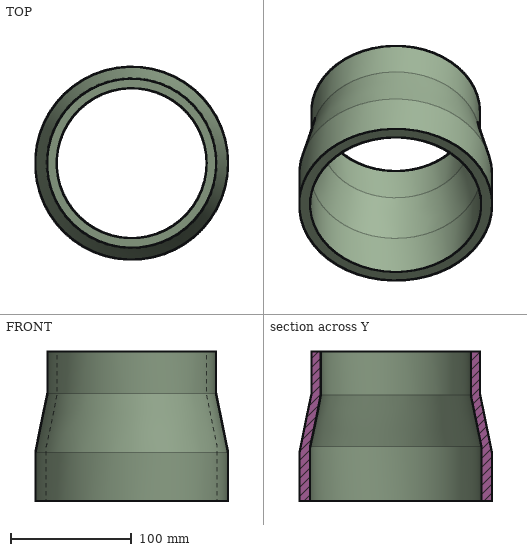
import cadquery as cq

large_diameter = 160.0
small_diameter = 140.0
large_wall = 9.1
small_wall = 8.0
total_height = 124.0

large_end_height = 40.0
small_end_height = 35.0
large_bore_height = 45.0
small_bore_height = 36.0

large_radius = large_diameter / 2
small_radius = small_diameter / 2
large_bore_radius = large_radius - large_wall
small_bore_radius = small_radius - small_wall


def stepped_taper(lower_radius, upper_radius, lower_length, upper_length):
    """Solid of two coaxial cylinders joined by a cone, standing on Z = 0."""
    taper_top = total_height - upper_length
    return (
        cq.Workplane("XZ")
        .moveTo(0, 0)
        .lineTo(lower_radius, 0)
        .lineTo(lower_radius, lower_length)
        .lineTo(upper_radius, taper_top)
        .lineTo(upper_radius, total_height)
        .lineTo(0, total_height)
        .close()
        .revolve(360, (0, 0, 0), (0, 1, 0))
    )


outer_body = stepped_taper(large_radius, small_radius, large_end_height, small_end_height)
bore = stepped_taper(large_bore_radius, small_bore_radius, large_bore_height, small_bore_height)

result = outer_body.cut(bore)